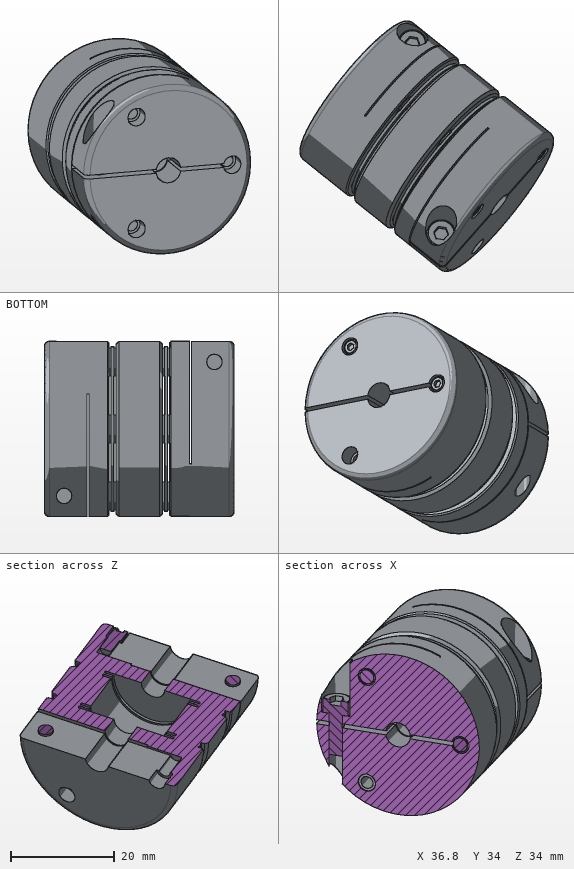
import cadquery as cq
import math


total_length = 36.8
outer_diameter = 34.0
bore_diameter = 5.0
hub_length = 12.5
hub_gap = 0.35
disc_thickness = 0.6
spacer_gap = 0.4
disc_diameter = 32.0
middle_bore_diameter = 16.5
hub_outer_fillet = 1.0
hub_inner_chamfer = 0.3
spacer_chamfer = 0.55

pitch_radius = 13.0
washer_diameter = 5.5
washer_count = 4

cross_cut_start = 8.3
cross_cut_width = 0.3
cross_cut_end_y = -6.75
slit_height = 0.77

clamp_x = 3.83
clamp_counterbore_diameter = 6.0
clamp_head_diameter = 5.5
clamp_head_height = 2.98
clamp_shank_diameter = 2.98
clamp_shank_length = 8.85
clamp_seat_z = 2.3
clamp_socket_width = 2.5
clamp_socket_depth = 1.1

end_hole_diameter = 3.5
end_seat_depth = 3.3
end_head_diameter = 2.98
end_head_recess = 0.22
end_shank_diameter = 2.45
end_shank_length = 3.68
end_socket_width = 1.32
end_socket_depth = 0.65
end_hole_angles = (-60, 60, 180)
end_screw_socket_turns = {60: 0, 180: 90}

head_chamfer_height = 0.1
head_chamfer_width = 0.24

middle_x = total_length / 2
disc_start = hub_length + hub_gap
spacer_start = disc_start + disc_thickness + spacer_gap
end_head_height = end_seat_depth - end_head_recess


def rod_x(diameter, start, end, y=0.0, z=0.0):
    """Cylinder parallel to X, from x = start to x = end."""
    return cq.Workplane("YZ", origin=(start, y, z)).circle(diameter / 2).extrude(end - start)


def rod_z(diameter, start, end, x, y):
    """Cylinder parallel to Z, from z = start to z = end."""
    return cq.Workplane("XY", origin=(x, y, start)).circle(diameter / 2).extrude(end - start)


def box_between(low, high):
    """Box between two opposite corners."""
    size = [b - a for a, b in zip(low, high)]
    return cq.Workplane("XY", origin=low).box(*size, centered=False)


def on_pitch_circle(angle):
    """Y and Z of a point on the pitch circle, measured from +Y toward +Z."""
    turn = math.radians(angle)
    return pitch_radius * math.cos(turn), pitch_radius * math.sin(turn)


def half_turn(body):
    """The body turned to the other end of the coupling, about the vertical axis at its middle."""
    return body.rotate((middle_x, 0, 0), (middle_x, 0, 1), 180)


def make_hub():
    """Left hub: bore, clamping cuts, clamp screw hole and end-face screw holes."""
    outer_radius = outer_diameter / 2
    hub = rod_x(outer_diameter, 0, hub_length)
    hub = hub.faces("<X").edges().fillet(hub_outer_fillet)
    hub = hub.faces(">X").edges().chamfer(hub_inner_chamfer)
    hub = hub.cut(rod_x(bore_diameter, 0, hub_length))

    hub = hub.cut(box_between(
        (cross_cut_start, cross_cut_end_y, -outer_radius),
        (cross_cut_start + cross_cut_width, outer_radius, outer_radius),
    ))
    hub = hub.cut(box_between(
        (0, -pitch_radius, -slit_height / 2),
        (cross_cut_start, outer_radius, slit_height / 2),
    ))

    hub = hub.cut(rod_z(clamp_shank_diameter, -outer_radius, clamp_seat_z, clamp_x, pitch_radius))
    hub = hub.cut(rod_z(clamp_counterbore_diameter, clamp_seat_z, outer_radius, clamp_x, pitch_radius))

    for angle in end_hole_angles:
        y, z = on_pitch_circle(angle)
        hub = hub.cut(rod_x(end_hole_diameter, 0, end_seat_depth, y, z))
        hub = hub.cut(rod_x(end_shank_diameter, end_seat_depth, cross_cut_start, y, z))
    return hub


def make_disc_pack():
    """Left disc with the washers that join it to the hub and to the spacer ring."""
    pack = rod_x(disc_diameter, disc_start, disc_start + disc_thickness)
    pack = pack.cut(rod_x(middle_bore_diameter, disc_start, disc_start + disc_thickness))
    for index in range(washer_count):
        y, z = on_pitch_circle(index * 360 / washer_count)
        pack = pack.union(rod_x(washer_diameter, hub_length, spacer_start, y, z))
    return pack


def make_spacer():
    """Ring in the middle of the coupling."""
    spacer_end = total_length - spacer_start
    spacer = rod_x(outer_diameter, spacer_start, spacer_end)
    spacer = spacer.edges().chamfer(spacer_chamfer)
    return spacer.cut(rod_x(middle_bore_diameter, spacer_start, spacer_end))


def make_coupling_body():
    """Both hubs and disc packs joined to the spacer ring."""
    body = make_spacer()
    for part in (make_disc_pack(), make_hub()):
        body = body.union(part).union(half_turn(part))
    return body


def make_cap_screw(head_diameter, head_height, shank_diameter, shank_length, socket_width, socket_depth):
    """Socket screw pointing down, seated at z = 0, with the socket's corners toward +X and -X."""
    head = cq.Workplane("XY").circle(head_diameter / 2).extrude(head_height)
    head = head.faces(">Z").edges().chamfer(head_chamfer_height, head_chamfer_width)
    socket_corners = socket_width / math.cos(math.pi / 6)
    socket = cq.Workplane("XY", origin=(0, 0, head_height)).polygon(6, socket_corners).extrude(-socket_depth)
    shank = cq.Workplane("XY").circle(shank_diameter / 2).extrude(-shank_length)
    return head.cut(socket).union(shank)


def make_clamp_screw():
    """Vertical screw that closes the slit of the left hub."""
    screw = make_cap_screw(
        clamp_head_diameter, clamp_head_height, clamp_shank_diameter, clamp_shank_length,
        clamp_socket_width, clamp_socket_depth,
    )
    screw = screw.rotate((0, 0, 0), (0, 0, 1), 90)
    return screw.translate((clamp_x, pitch_radius, clamp_seat_z))


def make_end_screw(angle, socket_turn):
    """Screw in the left hub's end face, pointing toward +X."""
    screw = make_cap_screw(
        end_head_diameter, end_head_height, end_shank_diameter, end_shank_length,
        end_socket_width, end_socket_depth,
    )
    screw = screw.rotate((0, 0, 0), (0, 0, 1), socket_turn)
    screw = screw.rotate((0, 0, 0), (0, 1, 0), -90)
    return screw.translate((end_seat_depth, *on_pitch_circle(angle)))


coupling_body = make_coupling_body()

left_clamp_screw = make_clamp_screw()
clamp_screws = [left_clamp_screw, half_turn(left_clamp_screw)]

end_screws = []
for screw_angle, turn in end_screw_socket_turns.items():
    end_screws.append(make_end_screw(screw_angle, turn))

bodies = [coupling_body, *clamp_screws, *end_screws]
result = cq.Compound.makeCompound([body.solids().val() for body in bodies])